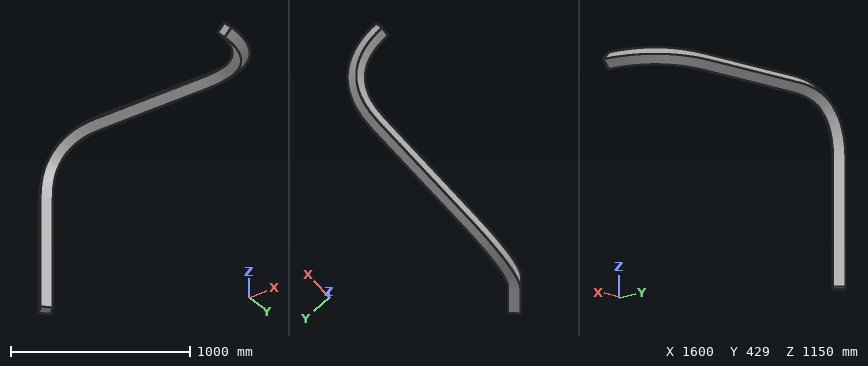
import cadquery as cq

length_x = 1600.0
depth_y = 429.0
height_z = 1150.0

bar_diagonal = 100.0
half_diagonal = bar_diagonal / 2

corner_z = height_z - half_diagonal
corner_x = length_x - bar_diagonal
end_y = half_diagonal - depth_y

bend_reach = depth_y - half_diagonal

foot = cq.Vector(0, 0, 0)
upper_corner = cq.Vector(0, 0, corner_z)
column_top = cq.Vector(0, 0, corner_z - bend_reach)
beam_start = cq.Vector(bend_reach, 0, corner_z)
beam_end = cq.Vector(corner_x - bend_reach, 0, corner_z)
side_corner = cq.Vector(corner_x, 0, corner_z)
bar_end = cq.Vector(corner_x, end_y, corner_z)


def parabolic_bend(start, corner, end):
    """Quadratic Bezier curve, tangent to both straight lines through the corner."""
    return cq.Edge.makeBezier([start, corner, end])


def bar_path():
    """Centreline: column, bend, beam, then a bend towards -Y."""
    return cq.Wire.assembleEdges([
        cq.Edge.makeLine(foot, column_top),
        parabolic_bend(column_top, upper_corner, beam_start),
        cq.Edge.makeLine(beam_start, beam_end),
        parabolic_bend(beam_end, side_corner, bar_end),
    ])


diamond_corners = [
    (half_diagonal, 0),
    (0, half_diagonal),
    (-half_diagonal, 0),
    (0, -half_diagonal),
]
section = cq.Workplane("XY").polyline(diamond_corners).close()
result = section.sweep(cq.Workplane(obj=bar_path()))